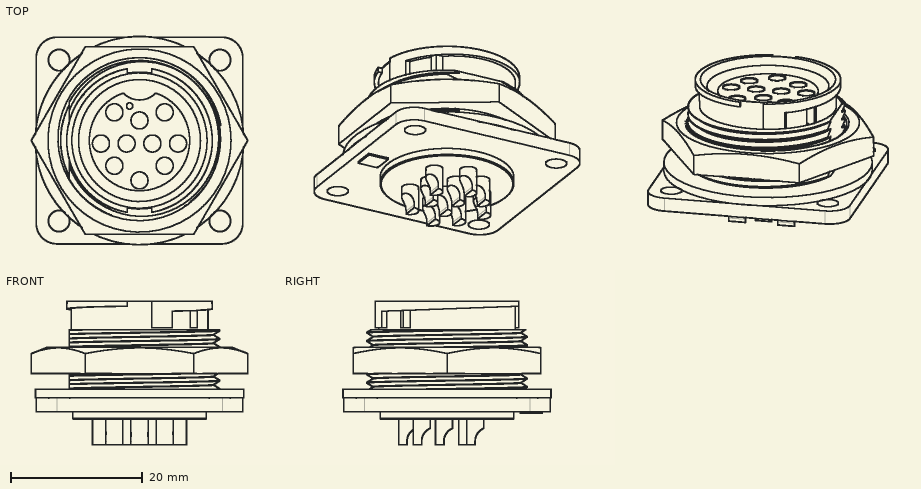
import cadquery as cq
import math


flange_width = 31.5
flange_thickness = 2.12
flange_corner_radius = 3.18
mount_hole_pitch = 24.5
mount_hole_diameter = 3.2
collar_radius = 31.75 / 2
collar_top = 3.44

boss_radius = 10.19
boss_depth = 1.16
boss_chamfer = 0.15
marker_width = 3.34
marker_center_y = 12.81
marker_depth = 0.25

pitch = 1.27
thread_top = 12.51
thread_root_radius = 11.35
thread_crest_radius = 12.2
thread_flat_x = -10.71
thread_crest_land = 0.1
thread_root_land = 0.1
thread_overlap = 0.04
thread_start = 2.2

neck_radius = 10.43
rim_radius = 11.09
shell_top = 16.83
rim_slot_half_width = 1.83
ramp_mid_height = 15.67
ramp_slope = 0.0367
stop_bottom = 12.76
stop_outer_x = 4.98
detent_face_x = 8.83
detent_back_x = 7.65
detent_corner_y = -6.66
detent_back_y = -6.95
detent_crown = (8.25, -7.06)
detent_root_y = -5.6

cavity_radius = 9.29
cavity_mouth_radius = 10.3
cavity_chamfer_depth = 1.08
cavity_floor = collar_top
insert_radius = 7.65
insert_top = shell_top - 1.86
keyway_radius = 3.4
keyway_center_y = 9.57
pip_x = -1.5
pip_y = 5.26
pip_radius = 0.48
pip_height = 0.2

contact_radius = 1.3
contact_recess = 0.15
contact_tip_z = shell_top - 21.87
cup_start_z = -2.53
cup_cut_radius = 2.1
contact_row_y = -0.455
contact_positions = [
    (-3.83, 4.30), (3.83, 4.30),
    (0, 3.06),
    (-5.87, contact_row_y), (-1.96, contact_row_y), (1.96, contact_row_y), (5.87, contact_row_y),
    (-3.83, -3.84), (3.83, -3.84),
    (0, -6.07),
]

nut_across_corners = 33.0
nut_bottom = 5.79
nut_top = 9.86
nut_chamfer_radius = 13.94
nut_chamfer_drop = 1.0
nut_bore_radius = 12.0
nut_groove_radius = 12.62
nut_groove_land = 0.3
nut_groove_drop = 0.3


def cylinder(radius, bottom, top):
    return cq.Workplane("XY").workplane(offset=bottom).circle(radius).extrude(top - bottom)


def helical_ridge(root_radius, crest_radius, crest_land, start_z, turns):
    """Right-handed thread ridge, centred on +X at start_z, reaching slightly inside its root."""
    half_crest = crest_land / 2
    half_root = (pitch - thread_root_land) / 2
    half_inner = half_root + thread_overlap * (half_root - half_crest) / (crest_radius - root_radius)
    inner_radius = root_radius - thread_overlap
    path = cq.Workplane(cq.Wire.makeHelix(pitch, turns * pitch, inner_radius))
    profile = cq.Workplane("XZ").polyline([
        (inner_radius, -half_inner),
        (crest_radius, -half_crest),
        (crest_radius, half_crest),
        (inner_radius, half_inner),
    ]).close()
    return profile.sweep(path, isFrenet=True).translate((0, 0, start_z))


def threaded_rod(root_radius, crest_radius, crest_land, bottom, top, start_z):
    """Cylinder with a thread around it; the thread runs out past the top of the cylinder."""
    turns = math.ceil((top - start_z) / pitch) + 1
    ridge = helical_ridge(root_radius, crest_radius, crest_land, start_z, turns)
    return cylinder(root_radius, bottom, top).union(ridge)


def make_flange():
    hole_offset = mount_hole_pitch / 2
    hole_centers = [(x, y) for x in (-hole_offset, hole_offset) for y in (-hole_offset, hole_offset)]
    plate = cq.Workplane("XY").rect(flange_width, flange_width).extrude(flange_thickness)
    plate = plate.edges("|Z").fillet(flange_corner_radius)
    holes = cq.Workplane("XY").pushPoints(hole_centers).circle(mount_hole_diameter / 2)
    plate = plate.cut(holes.extrude(flange_thickness))
    marker = cq.Workplane("XY").center(0, marker_center_y).rect(marker_width, marker_width)
    boss = cylinder(boss_radius, -boss_depth, 0).faces("<Z").chamfer(boss_chamfer)
    collar = cylinder(collar_radius, flange_thickness, collar_top)
    return plate.union(marker.extrude(-marker_depth)).union(boss).union(collar)


def make_thread():
    barrel = threaded_rod(
        thread_root_radius, thread_crest_radius, thread_crest_land, flange_thickness, thread_top, thread_start
    )
    envelope = cylinder(collar_radius, flange_thickness, thread_top)
    flat_side = cq.Workplane("XY").box(
        2 * collar_radius, 2 * collar_radius, 2 * shell_top, centered=(False, True, False)
    ).translate((thread_flat_x, 0, 0))
    return barrel.intersect(envelope).intersect(flat_side)


def make_bayonet_half():
    """Half of the bayonet rim, on the +X side, with its ramp, stop and detent."""
    ring = cylinder(rim_radius, stop_bottom, shell_top)
    ramp_rise = ramp_slope * rim_radius
    ramp = (
        cq.Workplane("YZ")
        .moveTo(-rim_radius, shell_top)
        .lineTo(-rim_radius, ramp_mid_height - ramp_rise)
        .lineTo(rim_radius, ramp_mid_height + ramp_rise)
        .lineTo(rim_radius, shell_top)
        .close()
        .extrude(rim_radius)
    )
    height = shell_top - stop_bottom
    base = cq.Workplane("XY").workplane(offset=stop_bottom)
    stop = base.moveTo(0, -rim_radius).lineTo(stop_outer_x, -rim_radius)
    stop = stop.lineTo(stop_outer_x, 0).lineTo(0, 0).close().extrude(height)
    detent = (
        base.moveTo(detent_face_x, detent_root_y)
        .lineTo(detent_face_x, detent_corner_y)
        .threePointArc(detent_crown, (detent_back_x, detent_back_y))
        .lineTo(detent_back_x, detent_root_y)
        .close()
        .extrude(height)
    )
    beyond_slot = cq.Workplane("XY").box(
        rim_radius, 2 * rim_radius, shell_top, centered=(False, True, False)
    ).translate((rim_slot_half_width, 0, 0))
    return ring.intersect(ramp.union(stop).union(detent)).intersect(beyond_slot)


def make_cavity():
    return (
        cq.Workplane("XZ")
        .moveTo(0, cavity_floor)
        .lineTo(cavity_radius, cavity_floor)
        .lineTo(cavity_radius, shell_top - cavity_chamfer_depth)
        .lineTo(cavity_mouth_radius, shell_top)
        .lineTo(0, shell_top)
        .close()
        .revolve(360, (0, 0, 0), (0, 1, 0))
    )


def make_insert():
    insert = cylinder(insert_radius, cavity_floor, insert_top)
    keyway = cylinder(keyway_radius, cavity_floor, insert_top).translate((0, keyway_center_y, 0))
    recesses = cq.Workplane("XY").workplane(offset=insert_top).pushPoints(contact_positions)
    recesses = recesses.circle(contact_radius).extrude(-contact_recess)
    pip = (
        cq.Workplane("XZ")
        .lineTo(pip_radius, 0)
        .threePointArc(pip_arc_middle(), (0, pip_height))
        .close()
        .revolve(360, (0, 0, 0), (0, 1, 0))
        .translate((pip_x, pip_y, insert_top))
    )
    return insert.cut(keyway).cut(recesses).union(pip)


def pip_arc_middle():
    """Midpoint of the spherical pip's half profile, from its rim to its top."""
    sphere_radius = (pip_radius**2 + pip_height**2) / (2 * pip_height)
    half_angle = math.asin(pip_radius / sphere_radius) / 2
    return (
        sphere_radius * math.sin(half_angle),
        sphere_radius * math.cos(half_angle) - sphere_radius + pip_height,
    )


def make_solder_tail():
    """Rear end of one contact: its +Y half is scooped away below an arc."""
    tail = cylinder(contact_radius, contact_tip_z, -boss_depth)
    arc_drop = math.sqrt(cup_cut_radius**2 - (cup_cut_radius - contact_radius) ** 2)
    arc_center_z = cup_start_z - arc_drop
    middle_angle = math.atan2(arc_drop, cup_cut_radius - contact_radius) / 2
    arc_middle = (
        cup_cut_radius - cup_cut_radius * math.cos(middle_angle),
        arc_center_z + cup_cut_radius * math.sin(middle_angle),
    )
    scoop = (
        cq.Workplane("YZ")
        .moveTo(contact_radius, cup_start_z)
        .threePointArc(arc_middle, (0, arc_center_z))
        .lineTo(0, contact_tip_z)
        .lineTo(contact_radius, contact_tip_z)
        .close()
        .extrude(contact_radius, both=True)
    )
    return tail.cut(scoop)


def make_shell():
    shell = make_flange().union(make_thread()).union(cylinder(neck_radius, flange_thickness, shell_top))
    bayonet_half = make_bayonet_half()
    for angle in (0, 180):
        shell = shell.union(bayonet_half.rotate((0, 0, 0), (0, 0, 1), angle))
    shell = shell.cut(make_cavity()).union(make_insert())
    solder_tail = make_solder_tail()
    for x, y in contact_positions:
        shell = shell.union(solder_tail.translate((x, y, 0)))
    return shell


def make_nut():
    hexagon = cq.Workplane("XY").workplane(offset=nut_bottom).polygon(6, nut_across_corners)
    corner_radius = nut_across_corners / 2
    chamfer_envelope = (
        cq.Workplane("XZ")
        .moveTo(0, nut_bottom)
        .lineTo(corner_radius, nut_bottom)
        .lineTo(corner_radius, nut_top - nut_chamfer_drop)
        .lineTo(nut_chamfer_radius, nut_top)
        .lineTo(0, nut_top)
        .close()
        .revolve(360, (0, 0, 0), (0, 1, 0))
    )
    nut = hexagon.extrude(nut_top - nut_bottom).intersect(chamfer_envelope)
    groove_start = thread_start + 2 * pitch - nut_groove_drop
    bore = threaded_rod(
        nut_bore_radius,
        nut_groove_radius,
        nut_groove_land,
        nut_bottom - pitch,
        nut_top + pitch,
        groove_start,
    )
    return nut.cut(bore)


shell = make_shell()
nut = make_nut()
result = cq.Compound.makeCompound([shell.solids().val(), nut.solids().val()])